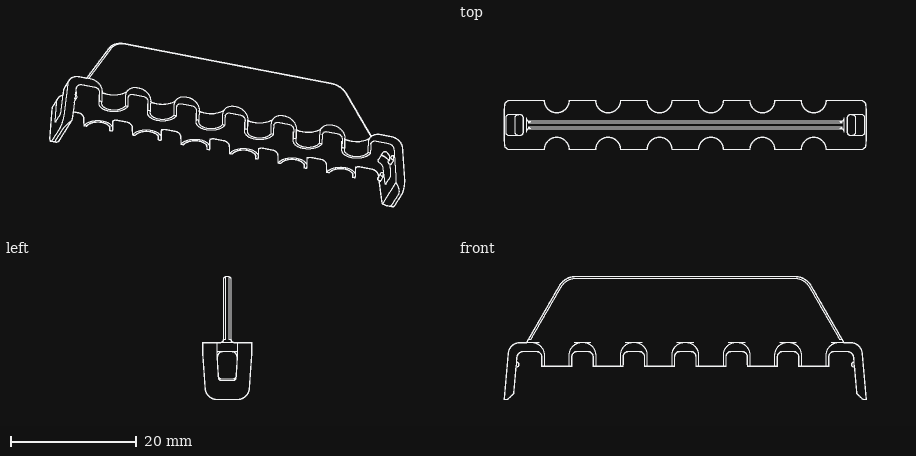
import cadquery as cq
import math

length = 57.52
width = 7.83
strip_thickness = 1.45

scallops_per_side = 6
scallop_pitch = 8.16
hole_radius = 1.96
flare_radius = 2.0
tube_wall = 0.44
tube_depth = 3.8
collar_radius = 0.8

leg_drop = 9.07
leg_splay = 5.0
leg_thickness = 1.45
leg_outer_bend = 1.9
leg_inner_bend = 1.0
leg_side_taper = 4.0
leg_taper_start = -1.7
leg_corner_radius = 1.95
leg_tip_chamfer = 0.95

slot_half_width = 1.65
slot_end_x = 25.75
slot_floor_inner = -5.75
slot_floor_slope = 10.0
slot_top_corner = 0.5
slot_floor_corner = 0.4

ridge_radius = 0.42
ridge_length = 1.4
ridge_centre_y = 2.55
ridge_centre_z = -3.5

blade_height = 10.5
blade_thickness = 1.25
blade_half_length = 25.2
blade_end_lean = 30.0
blade_corner_radius = 3.0
blade_edge_chamfer = 0.33
blade_embed = 0.5
foot_radius = 0.47

half_length = length / 2
half_width = width / 2
leg_inner_offset = leg_thickness / math.cos(math.radians(leg_splay))
tube_radius = hole_radius + tube_wall
clearance = 1.0


def leg_outer_x(z):
    """X of the outer leg face at height z."""
    return half_length - (z + leg_drop) * math.tan(math.radians(leg_splay))


def make_strip_and_legs():
    """Bent bar: the side profile of the strip and both legs, extruded across the width."""
    outer_tip = leg_outer_x(-leg_drop)
    inner_tip = outer_tip - leg_inner_offset
    outer_top = leg_outer_x(0)
    inner_top = leg_outer_x(-strip_thickness) - leg_inner_offset
    profile = [
        (-outer_tip, -leg_drop),
        (-outer_top, 0),
        (outer_top, 0),
        (outer_tip, -leg_drop),
        (inner_tip, -leg_drop),
        (inner_top, -strip_thickness),
        (-inner_top, -strip_thickness),
        (-inner_tip, -leg_drop),
    ]
    bar = cq.Workplane("XZ").polyline(profile).close().extrude(half_width, both=True)
    bar = bar.edges("|Y").edges(">Z").fillet(leg_outer_bend)

    def edges_at(x, z):
        reach = 0.05
        return cq.selectors.BoxSelector(
            (x - reach, -width, z - reach), (x + reach, width, z + reach)
        )

    for side in (-1, 1):
        bar = bar.edges(edges_at(side * inner_top, -strip_thickness)).fillet(leg_inner_bend)
        bar = bar.edges(edges_at(side * inner_tip, -leg_drop)).chamfer(leg_tip_chamfer)
    return bar


def make_leg_outline():
    """Prism along X that tapers the legs and rounds their lower corners."""
    tip_half_width = half_width - (leg_drop + leg_taper_start) * math.tan(math.radians(leg_side_taper))
    outline = [
        (-half_width, clearance),
        (half_width, clearance),
        (half_width, leg_taper_start),
        (tip_half_width, -leg_drop),
        (-tip_half_width, -leg_drop),
        (-half_width, leg_taper_start),
    ]
    prism = cq.Workplane("YZ").polyline(outline).close().extrude(length, both=True)
    return prism.edges("|X").edges("<Z").fillet(leg_corner_radius)


def make_slot(side):
    """Cutter for one end slot: rounded in the strip, tapered down the leg, with a sloping floor."""
    taper = math.tan(math.radians(leg_side_taper))
    floor_half_width = slot_half_width - (leg_taper_start - slot_floor_inner) * taper
    headroom = slot_half_width * 2
    opening = [
        (-slot_half_width, headroom),
        (slot_half_width, headroom),
        (slot_half_width, leg_taper_start),
        (floor_half_width, slot_floor_inner),
        (-floor_half_width, slot_floor_inner),
        (-slot_half_width, leg_taper_start),
    ]
    tunnel = cq.Workplane("YZ").polyline(opening).close().extrude(half_length, both=True)
    tunnel = tunnel.edges("|X").edges("<Z").fillet(slot_floor_corner)
    floor_inner_x = leg_outer_x(slot_floor_inner) - leg_inner_offset
    pivot = (floor_inner_x, 0, slot_floor_inner)
    tunnel = tunnel.translate((floor_inner_x, 0, 0))
    tunnel = tunnel.rotate(pivot, (floor_inner_x, 1, slot_floor_inner), slot_floor_slope)

    run = half_length + clearance - slot_end_x
    window = cq.Workplane("XY").box(
        run, slot_half_width * 2, leg_drop + clearance, centered=(False, True, False)
    )
    window = window.edges("|Z").edges("<X").fillet(slot_top_corner)
    cutter = window.translate((slot_end_x, 0, -leg_drop)).intersect(tunnel)
    return cutter if side > 0 else cutter.mirror("YZ")


def revolve_about_z(profile):
    return profile.close().revolve(360, (0, 0, 0), (0, 1, 0))


def make_tube():
    """Round sleeve below the strip, blended into its underside by a collar."""
    collar_edge = tube_radius + collar_radius
    collar_base = -strip_thickness - collar_radius
    diagonal = collar_radius * math.sqrt(0.5)
    top = -strip_thickness / 2
    profile = (
        cq.Workplane("XZ")
        .moveTo(0, top)
        .lineTo(collar_edge, top)
        .lineTo(collar_edge, -strip_thickness)
        .threePointArc((collar_edge - diagonal, collar_base + diagonal), (tube_radius, collar_base))
        .lineTo(tube_radius, -tube_depth)
        .lineTo(0, -tube_depth)
    )
    return revolve_about_z(profile)


def make_hole():
    """Hole cutter with a quarter-round flare opening onto the top face."""
    rim_radius = hole_radius + flare_radius
    diagonal = flare_radius * math.sqrt(0.5)
    profile = (
        cq.Workplane("XZ")
        .moveTo(0, clearance)
        .lineTo(rim_radius, clearance)
        .lineTo(rim_radius, 0)
        .threePointArc(
            (rim_radius - diagonal, diagonal - flare_radius), (hole_radius, -flare_radius)
        )
        .lineTo(hole_radius, -tube_depth - clearance)
        .lineTo(0, -tube_depth - clearance)
    )
    return revolve_about_z(profile)


def make_fin(height):
    """Sharp-edged trapezoidal fin of the given height, sunk slightly into the strip."""
    lean = math.tan(math.radians(blade_end_lean))
    base = blade_half_length + blade_embed * lean
    top = blade_half_length - height * lean
    outline = [(-base, -blade_embed), (base, -blade_embed), (top, height), (-top, height)]
    return cq.Workplane("XZ").polyline(outline).close().extrude(blade_thickness / 2, both=True)


def make_blade():
    """Full-height fin with rounded top corners and chamfered free edges."""
    blade = make_fin(blade_height).edges("|Y").edges(">Z").fillet(blade_corner_radius)
    return blade.faces("|Y").edges("not(<Z)").chamfer(blade_edge_chamfer)


def make_ridge():
    """Round bar along Y, centred on the origin; half of it sinks into the leg."""
    return cq.Workplane("XZ").circle(ridge_radius).extrude(ridge_length / 2, both=True)


def ridge_centres():
    x = leg_outer_x(ridge_centre_z) - leg_inner_offset
    return [
        (side * x, y, ridge_centre_z)
        for side in (-1, 1)
        for y in (-ridge_centre_y, ridge_centre_y)
    ]


def add_blade_foot(part):
    """Low square-ended base of the blade, blended along both sides into the scalloped strip."""
    base_rise = 0.05
    seam_reach = 0.02
    part = part.union(make_fin(foot_radius + base_rise))
    for seam_y in (-blade_thickness / 2, blade_thickness / 2):
        seam = cq.selectors.BoxSelector(
            (-half_length, seam_y - seam_reach, -blade_embed),
            (half_length, seam_y + seam_reach, seam_reach),
        )
        part = part.edges(seam).fillet(foot_radius)
    return part


def scallop_centres():
    first = -(scallops_per_side - 1) / 2 * scallop_pitch
    return [
        (first + i * scallop_pitch, y, 0)
        for i in range(scallops_per_side)
        for y in (-half_width, half_width)
    ]


body = make_strip_and_legs()
for centre in scallop_centres():
    body = body.union(make_tube().translate(centre))
body = body.intersect(make_leg_outline())
for centre in scallop_centres():
    body = body.cut(make_hole().translate(centre))
for end in (-1, 1):
    body = body.cut(make_slot(end))
for centre in ridge_centres():
    body = body.union(make_ridge().translate(centre))
body = add_blade_foot(body)
result = body.union(make_blade())